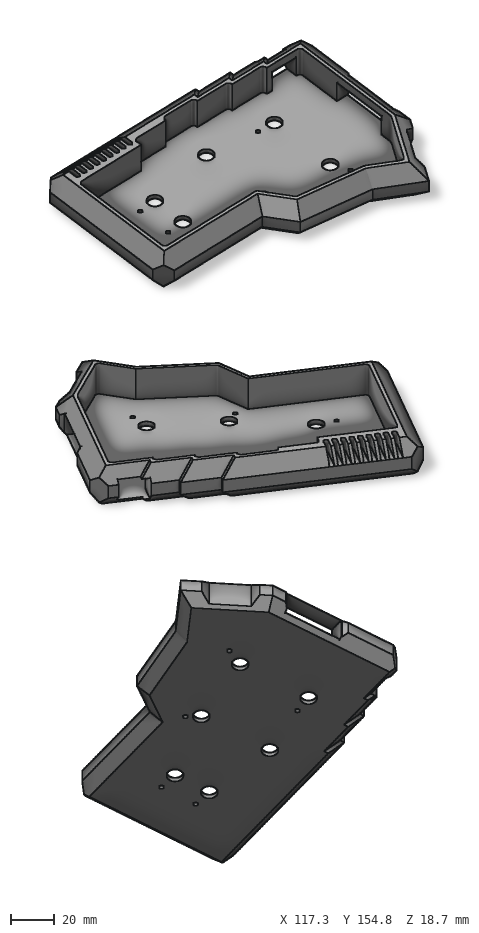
import cadquery as cq
import math

length = 154.8
height = 18.7
body_width = 84.0

bevel_height = 6.5
band_height = 6.5
band_top = height - bevel_height
band_bottom = band_top - band_height
lower_inset = 5.3
upper_inset = 7.6

setback_total = 7.0
setback_ys = [95.8, 115.0, 134.2]
setback = setback_total / len(setback_ys)

shoulder = (81.0, length)
tip = (117.3, 133.5)
knee = (104.2, 110.7)
hip = (98.5, 71.5)
waist = (body_width, 61.1)
corner_cut = 7.0

floor = 2.5
rim = 1.9
wall = upper_inset + rim
cavity_radius = 3.9 / 2
shoulder_radius = 6.0
mid_ledge_x = wall + setback
mid_ledge_y = 67.0
grip_ledge_x = wall + setback_total
grip_ledge_y = 47.5

groove_count = 9
groove_width = 2.3
groove_radius = 1.0
groove_end_x = 13.3
first_groove_y = 12.2
last_groove_y = 44.4
groove_pitch = (last_groove_y - first_groove_y) / (groove_count - 1)

opening_top = 14.0
left_opening_ys = (128.1, 143.0)
back_opening_xs = (41.5, 71.8)
back_recess_span = (40.9, 71.8)
back_recess_depth = 1.9
shoulder_recess_depth = 3.7
shoulder_recess_span = (9.6, 28.8)

large_diameter = 7.7
small_diameter = 2.2
large_holes = [(33.0, 114.5), (71.0, 114.5), (28.3, 76.9), (66.4, 76.9), (35.5, 38.8), (54.5, 38.8)]
small_holes = [(32.5, 105.0), (80.0, 118.9), (72.3, 72.6), (36.2, 29.1), (55.2, 29.1)]


def outline_points():
    """Widest outline of the part, counterclockwise from the lower left corner."""
    points = [(0, 0), (body_width, 0), waist, hip, knee, tip, shoulder, (setback_total, length)]
    for number in range(len(setback_ys), 0, -1):
        y = setback_ys[number - 1]
        points += [(number * setback, y), ((number - 1) * setback, y)]
    return points


outline = outline_points()


def corner_directions(points, index):
    """Direction of travel into a corner, and the turn made there (positive to the left)."""
    x, y = points[index]
    x_before, y_before = points[index - 1]
    x_after, y_after = points[(index + 1) % len(points)]
    direction = math.atan2(y - y_before, x - x_before)
    turn = math.atan2(y_after - y, x_after - x) - direction
    return direction, math.remainder(turn, 2 * math.pi)


def inset_points(distance):
    """Corners of the outline moved inward by a distance, with every corner kept sharp."""
    points = []
    for index, (x, y) in enumerate(outline):
        direction, turn = corner_directions(outline, index)
        inward = direction + turn / 2 + math.pi / 2
        reach = distance / math.cos(turn / 2)
        points.append((x + reach * math.cos(inward), y + reach * math.sin(inward)))
    return points


def prism(points, bottom=0.0, top=height):
    return cq.Workplane("XY").workplane(offset=bottom).polyline(points).close().extrude(top - bottom)


def bevel(bottom_inset, top_inset, bottom, top):
    """Layer whose sides slope from one inset of the outline to another."""
    base = cq.Workplane("XY").workplane(offset=bottom).polyline(inset_points(bottom_inset)).close()
    return base.workplane(offset=top - bottom).polyline(inset_points(top_inset)).close().loft(ruled=True)


def make_body():
    lower = bevel(lower_inset, 0, 0, band_bottom)
    middle = prism(outline, band_bottom, band_top)
    upper = bevel(0, upper_inset, band_top, height)
    return lower.union(middle).union(upper)


def make_corner_cuts():
    """Wedges that cut the three square corners upright at 45 degrees."""
    cuts = cq.Workplane("XY")
    for x, y, x_side, y_side in [(0, 0, 1, 1), (body_width, 0, -1, 1), (setback_total, length, 1, -1)]:
        cuts = cuts.add(prism([(x, y), (x + x_side * corner_cut, y), (x, y + y_side * corner_cut)]))
    return cuts.combine()


def make_cavity():
    """Open pocket that follows the outline, rounded where its own corners point outward."""
    corners = [(grip_ledge_x, wall)] + inset_points(wall)[1:]
    corners += [(wall, mid_ledge_y), (mid_ledge_x, mid_ledge_y)]
    corners += [(mid_ledge_x, grip_ledge_y), (grip_ledge_x, grip_ledge_y)]
    cavity = prism(corners, floor)
    for index, (x, y) in enumerate(corners):
        _, turn = corner_directions(corners, index)
        if turn > 0:
            radius = shoulder_radius if index == outline.index(shoulder) else cavity_radius
            edge = cq.selectors.NearestToPointSelector((x, y, (floor + height) / 2))
            cavity = cavity.edges("|Z").edges(edge).fillet(radius)
    return cavity


def make_grooves():
    """Slots with rounded inner corners, open to the left, as deep as the upper bevel."""
    groove = cq.Workplane("XY").box(groove_end_x, groove_width, bevel_height, centered=(False, True, False))
    groove = groove.edges("|Z and >X").fillet(groove_radius)
    centers = [(0, first_groove_y + number * groove_pitch) for number in range(groove_count)]
    places = cq.Workplane("XY").workplane(offset=band_top).pushPoints(centers)
    return places.eachpoint(lambda place: groove.val().moved(place))


def make_recess(start, end, depth):
    """Recess with 45 degree ends, cut into a wall that lies along the X axis."""
    return prism([(start, -depth), (end, -depth), (end + depth, 0), (start - depth, 0)])


def make_recesses():
    back = make_recess(*back_recess_span, back_recess_depth).translate((0, length, 0))
    slope = math.degrees(math.atan2(tip[1] - shoulder[1], tip[0] - shoulder[0]))
    slanted = make_recess(*shoulder_recess_span, shoulder_recess_depth)
    return back.union(slanted.rotate((0, 0, 0), (0, 0, 1), slope).translate(shoulder))


def make_openings():
    """Rectangular openings through the left and back walls, level with the cavity floor."""
    low_y, high_y = left_opening_ys
    left_x, right_x = back_opening_xs
    inner_x = setback_total + wall
    inner_y = length - wall
    left = prism([(0, low_y), (inner_x, low_y), (inner_x, high_y), (0, high_y)], floor, opening_top)
    back = prism([(left_x, inner_y), (right_x, inner_y), (right_x, length), (left_x, length)], floor, opening_top)
    return left.union(back)


def make_holes(centers, diameter):
    return cq.Workplane("XY").pushPoints(centers).circle(diameter / 2).extrude(height)


result = make_body().cut(make_corner_cuts()).cut(make_cavity()).cut(make_grooves())
result = result.cut(make_recesses()).cut(make_openings())
result = result.cut(make_holes(large_holes, large_diameter)).cut(make_holes(small_holes, small_diameter))